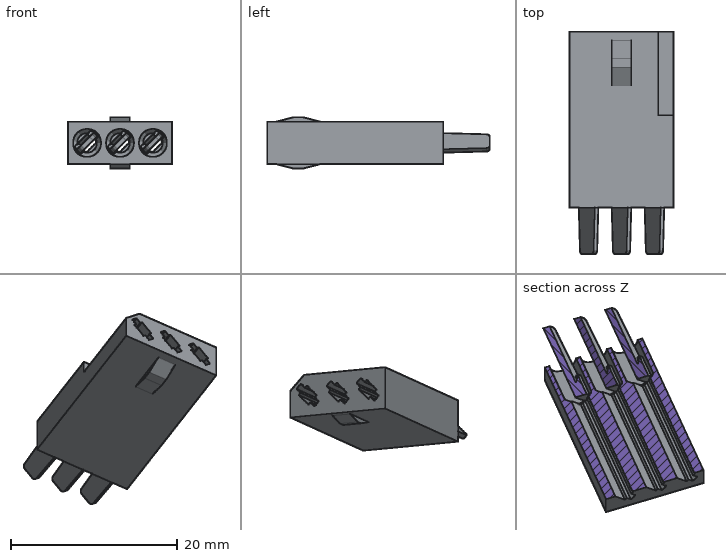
import cadquery as cq
import math


HOUSING_WIDTH = 12.57
HOUSING_HEIGHT = 5.1
TOTAL_LENGTH = 26.8
BLADE_EXPOSED = 5.6
HOUSING_LENGTH = TOTAL_LENGTH - BLADE_EXPOSED

KEY_CHAMFER = 1.85
KEY_LENGTH = 10.05

OVERALL_HEIGHT = 6.22
BUMP_HEIGHT = (OVERALL_HEIGHT - HOUSING_HEIGHT) / 2
BUMP_WIDTH = 2.35
BUMP_REAR_MARGIN = 1.02
BUMP_RAMP = 2.17
BUMP_FLAT = 1.1
BUMP_LENGTH = 2 * BUMP_RAMP + BUMP_FLAT

PIN_COUNT = 3
PIN_PITCH = 3.97
PIN_ANGLE = -45.0
BLADE_THICKNESS = 0.62
BLADE_INSET = 2.35
BLADE_TIP_WIDTH = 2.33
BLADE_ROOT_WIDTH = 2.92
TIP_RADIUS = 0.45

BARREL_RADIUS = math.hypot(BLADE_ROOT_WIDTH, BLADE_THICKNESS) / 2
BARREL_TOP = 0.75
POCKET_WIDTH = 1.5
POCKET_DEPTH = 1.07

BORE_RADIUS = 1.7
BORE_DEPTH = 5.35
THROAT_RADIUS = 1.18
CONE_DEPTH = BORE_RADIUS - THROAT_RADIUS
BARREL_END = BORE_DEPTH + BORE_RADIUS - BARREL_RADIUS
PASSAGE_HEIGHT = 2 * BARREL_TOP
PASSAGE_WIDTH = 2 * math.sqrt(THROAT_RADIUS**2 - BARREL_TOP**2)
SLOT_HEIGHT = 0.8


def place_on_axis(shape, x):
    """Turn a shape built around the Y axis to the pin angle and move it to its own axis."""
    return shape.rotate((0, 0, 0), (0, 1, 0), PIN_ANGLE).translate((x, 0, 0))


def bar_along_y(width, height, y_start, y_end):
    """Rectangular bar centred on the Y axis."""
    bar = cq.Workplane("XY").box(width, y_end - y_start, height)
    return bar.translate((0, (y_start + y_end) / 2, 0))


def make_cavity():
    bore_profile = [
        (0, 0),
        (BORE_RADIUS, 0),
        (BORE_RADIUS, BORE_DEPTH),
        (THROAT_RADIUS, BORE_DEPTH + CONE_DEPTH),
        (0, BORE_DEPTH + CONE_DEPTH),
    ]
    bore = cq.Workplane("XY").polyline(bore_profile).close().revolve(360, (0, 0, 0), (0, 1, 0))
    passage = bar_along_y(PASSAGE_WIDTH, PASSAGE_HEIGHT, BORE_DEPTH, HOUSING_LENGTH)
    slot = bar_along_y(2 * BORE_RADIUS, SLOT_HEIGHT, BORE_DEPTH, HOUSING_LENGTH)
    round_limit = cq.Workplane("XZ").circle(BORE_RADIUS).extrude(-HOUSING_LENGTH)
    return bore.union(passage).union(slot.intersect(round_limit))


def make_key_cutter():
    """Triangular prism that leaves the keying chamfer."""
    x_side = HOUSING_WIDTH / 2
    z_top = HOUSING_HEIGHT / 2
    corner = [
        (x_side, z_top),
        (x_side - KEY_CHAMFER, z_top),
        (x_side, z_top - KEY_CHAMFER),
    ]
    prism = cq.Workplane("XZ").polyline(corner).close().extrude(-KEY_LENGTH)
    return prism.translate((0, HOUSING_LENGTH - KEY_LENGTH, 0))


def make_latch_bumps():
    """One bar with a trapezoidal bump on its top and its mirror image on its bottom."""
    y_rear = HOUSING_LENGTH - BUMP_REAR_MARGIN
    y_front = y_rear - BUMP_LENGTH
    z_base = HOUSING_HEIGHT / 2
    z_crest = z_base + BUMP_HEIGHT
    profile = [
        (y_front, z_base),
        (y_front + BUMP_RAMP, z_crest),
        (y_rear - BUMP_RAMP, z_crest),
        (y_rear, z_base),
    ]
    top_bump = cq.Workplane("YZ").polyline(profile).close().extrude(BUMP_WIDTH / 2, both=True)
    return top_bump.union(top_bump.mirror("XY"))


def make_housing(pin_positions):
    body = bar_along_y(HOUSING_WIDTH, HOUSING_HEIGHT, 0, HOUSING_LENGTH)
    body = body.cut(make_key_cutter()).union(make_latch_bumps())
    for x in pin_positions:
        body = body.cut(place_on_axis(make_cavity(), x))
    return body


def make_blade():
    """Flat blade that narrows toward a tip with rounded corners."""
    outline = [
        (-BLADE_TIP_WIDTH / 2, -BLADE_EXPOSED),
        (BLADE_TIP_WIDTH / 2, -BLADE_EXPOSED),
        (BLADE_ROOT_WIDTH / 2, BLADE_INSET),
        (-BLADE_ROOT_WIDTH / 2, BLADE_INSET),
    ]
    blade = cq.Workplane("XY").polyline(outline).close().extrude(BLADE_THICKNESS / 2, both=True)
    return blade.faces("<Y").edges("|Z").fillet(TIP_RADIUS)


def make_barrel():
    """Round bar with flats above and below, hollowed at the front by a pocket with a sloping roof."""
    barrel_length = BARREL_END - BLADE_INSET
    z_bottom = -BLADE_THICKNESS / 2
    z_floor = BLADE_THICKNESS / 2
    barrel = cq.Workplane("XZ", origin=(0, BLADE_INSET, 0)).circle(BARREL_RADIUS).extrude(-barrel_length)
    flats = bar_along_y(2 * BARREL_RADIUS, BARREL_TOP - z_bottom, BLADE_INSET, BARREL_END)
    barrel = barrel.intersect(flats.translate((0, 0, (BARREL_TOP + z_bottom) / 2)))
    pocket_profile = [
        (BLADE_INSET, z_floor),
        (BLADE_INSET + POCKET_DEPTH, z_floor),
        (BLADE_INSET, BARREL_TOP),
    ]
    pocket = cq.Workplane("YZ").polyline(pocket_profile).close().extrude(POCKET_WIDTH / 2, both=True)
    return barrel.cut(pocket)


def make_pin(x):
    return place_on_axis(make_blade().union(make_barrel()), x)


pin_positions = [(i - (PIN_COUNT - 1) / 2) * PIN_PITCH for i in range(PIN_COUNT)]
housing = make_housing(pin_positions)
pins = [make_pin(x) for x in pin_positions]

result = cq.Compound.makeCompound([housing.solids().val(), *[pin.solids().val() for pin in pins]])